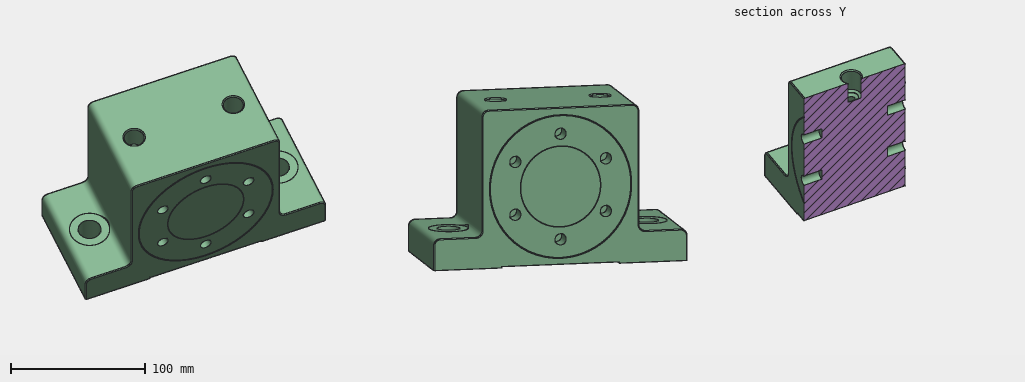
import cadquery as cq
import math

depth = 86.0
foot_span = 194.0
total_height = 120.0
body_width = 120.0
foot_height = 24.0
edge_radius = 5.0
rim_chamfer = 0.75

relief_width = 90.0
relief_depth = 1.0

mount_spacing = 152.0
mount_diameter = 17.0
spotface_diameter = 30.0
spotface_depth = 0.1

axis_height = 60.0
core_diameter = 108.0

port_offset = 40.0
port_diameter = 14.95
port_mouth_diameter = 16.66
inlet_tip_height = 97.1
drill_point_angle = 118.0
pilot_diameter = 11.0
pilot_step = 0.5
nozzle_diameter = 5.8

cover_diameter = 107.5
cover_seat_diameter = 109.0
cap_diameter = 61.0
cap_seat_diameter = 61.6
seam_depth = 0.2
bolt_count = 6
bolt_circle_diameter = 80.0
bolt_diameter = 8.5
bolt_depth = 15.0


def make_housing():
    """Inverted-T block with rounded corners and chamfered rims on both X faces."""
    half_span = foot_span / 2
    half_body = body_width / 2
    outline = [
        (-half_span, 0),
        (half_span, 0),
        (half_span, foot_height),
        (half_body, foot_height),
        (half_body, total_height),
        (-half_body, total_height),
        (-half_body, foot_height),
        (-half_span, foot_height),
    ]
    block = cq.Workplane("YZ").polyline(outline).close().extrude(depth / 2, both=True)
    rounded = block.edges("|X").edges(cq.selectors.BoxSelector(
        (-depth, -foot_span, foot_height / 2), (depth, foot_span, 2 * total_height)
    )).fillet(edge_radius)
    rims = rounded.faces("<X or >X").edges("not(<Z)")
    return rims.chamfer(rim_chamfer)


def make_base_relief():
    return cq.Workplane("XY").box(depth, relief_width, relief_depth, centered=(True, True, False))


def make_mount_cutter(y):
    """Through hole with a shallow spotface that also cuts into the foot fillet."""
    hole = cq.Workplane("XY").center(0, y).circle(mount_diameter / 2).extrude(foot_height)
    spotface_bottom = foot_height - spotface_depth
    spotface_height = spotface_depth + edge_radius
    spotface = (
        cq.Workplane("XY", origin=(0, y, spotface_bottom))
        .circle(spotface_diameter / 2)
        .extrude(spotface_height)
    )
    return hole.union(spotface)


def make_core():
    return (
        cq.Workplane("YZ", origin=(0, 0, axis_height))
        .circle(core_diameter / 2)
        .extrude(depth / 2, both=True)
    )


def make_bore(y, diameter, bottom):
    """Vertical cylinder from the given height up to the top face."""
    return (
        cq.Workplane("XY", origin=(0, y, bottom))
        .circle(diameter / 2)
        .extrude(total_height - bottom)
    )


def make_cone(y, diameter, base_height, cone_height):
    """Downward-pointing cone with its base at the given height."""
    radius = diameter / 2
    return cq.Workplane(
        cq.Solid.makeCone(radius, 0, cone_height, cq.Vector(0, y, base_height), cq.Vector(0, 0, -1))
    )


def make_port_mouth(y):
    """45 degree countersink at the top of a port."""
    return make_cone(y, port_mouth_diameter, total_height, port_mouth_diameter / 2)


def make_outlet():
    """Port whose floor is the convex surface of the core."""
    bore = make_bore(port_offset, port_diameter, axis_height)
    return bore.union(make_port_mouth(port_offset)).cut(make_core())


def make_drilled_hole(y, diameter, tip):
    """Hole with a drill-point bottom whose tip lies at the given height."""
    point_height = diameter / 2 / math.tan(math.radians(drill_point_angle / 2))
    shoulder = tip + point_height
    return make_bore(y, diameter, shoulder).union(make_cone(y, diameter, shoulder, point_height))


def make_inlet():
    """Port drilled in steps: wide bore, pilot hole and a nozzle down to the core."""
    y = -port_offset
    bore = make_drilled_hole(y, port_diameter, inlet_tip_height)
    pilot = make_drilled_hole(y, pilot_diameter, inlet_tip_height - pilot_step)
    nozzle = make_bore(y, nozzle_diameter, axis_height)
    return bore.union(pilot).union(nozzle).union(make_port_mouth(y)).cut(make_core())


def make_seam(inner_diameter, outer_diameter):
    """Shallow ring groove in the -X face, centred on the main axis."""
    return (
        cq.Workplane("YZ", origin=(-depth / 2, 0, axis_height))
        .circle(outer_diameter / 2)
        .circle(inner_diameter / 2)
        .extrude(seam_depth)
    )


def make_bolt_holes():
    """Blind bolt holes in the -X face, the first one straight above the main axis."""
    return (
        cq.Workplane("YZ", origin=(-depth / 2, 0, axis_height))
        .polarArray(bolt_circle_diameter / 2, 90, 360, bolt_count)
        .circle(bolt_diameter / 2)
        .extrude(bolt_depth)
    )


result = make_housing().cut(make_base_relief())

for side in (-1, 1):
    result = result.cut(make_mount_cutter(side * mount_spacing / 2))

result = result.cut(make_outlet()).cut(make_inlet())

cover_cutters = [
    make_seam(cover_diameter, cover_seat_diameter),
    make_seam(cap_diameter, cap_seat_diameter),
    make_bolt_holes(),
]
for cutter in cover_cutters:
    result = result.cut(cutter).cut(cutter.mirror("YZ"))